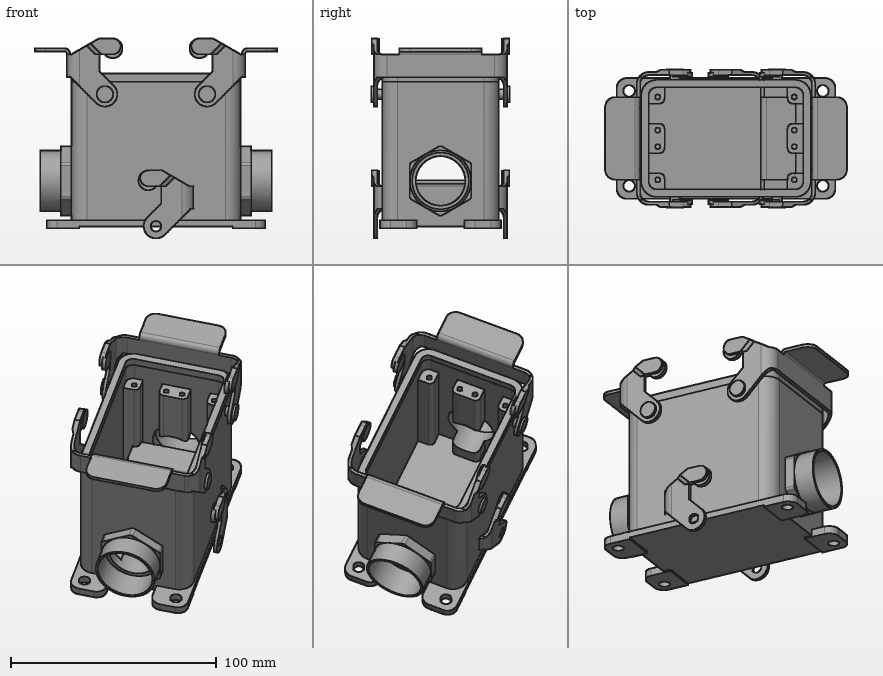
import cadquery as cq
import math


shell_length = 82.3
shell_width = 56.8
wall = 3.6
shell_corner_radius = 7.4
shell_top = 75.3
rim_height = 4.1
rim_bottom = shell_top - rim_height

base_bottom = 0.8
base_top = 4.0
base_width = 58.8
foot_reach = 53.2
foot_pad_start = 37.3
foot_inner_y = 11.5
foot_corner_radius = 5.0
foot_hole_x = 47.0
foot_hole_y = 23.0
foot_hole_diameter = 5.5

boss_face_x = 29.9
corner_boss_face_y = 16.9
middle_boss_half_width = 7.2
boss_corner_radius = 2.5
boss_top = 62.0
boss_hole_x = 33.2
corner_boss_hole_y = 20.1
middle_boss_hole_y = 4.0
boss_hole_diameter = 2.5
boss_hole_depth = 7.0

gland_z = 23.0
gland_end = 56.3
gland_diameter = 29.6
gland_counterbore_diameter = 27.5
gland_counterbore_depth = 13.6
gland_bore_diameter = 24.0
hex_end = 46.2
hex_across_flats = 29.8
hex_edge_radius = 1.8

pivot_x = 24.8
pivot_z = 65.2
low_pivot_z = 1.0
pin_diameter = 4.9
pin_head_diameter = 8.0
pin_head_span = 67.4

sheet = 1.6
arm_outer_y = 32.3
lever_wall_x = 18.6
lever_corner_radius = 6.1
pivot_end_radius = 6.0
pivot_hole_diameter = 5.0
lever_wall_bottom = 8.3
lever_wall_top = 19.4
arm_inner_x = 2.6
hook_top = 27.2
hook_shoulder_x = 2.8
hook_end_x = -3.8
hook_slope = math.radians(30)
pad_outer_y = 33.4
pad_foot_x = 4.7
pad_ramp_run = 2.1
disc_diameter = 9.5
disc_z = 22.2
disc_inner_y = 29.9
disc_outer_y = 31.9
tab_end_x = 34.0
tab_width = 40.2
tab_corner_radius = 5.0
tab_bend_radius = 0.9
tab_top = 22.3

SIDES = (-1, 1)

pin_head_face = pin_head_span / 2
cavity_length = shell_length - 2 * wall
cavity_width = shell_width - 2 * wall
cavity_corner_radius = shell_corner_radius - wall
arm_inner_y = arm_outer_y - sheet
hook_radius = (hook_top - lever_wall_top) / 2
hook_mid_z = lever_wall_top + hook_radius
lever_open_end_x = -2 * lever_wall_x
tab_outer_bend = tab_bend_radius + sheet
bend_start_z = tab_top - tab_outer_bend
tab_bottom = tab_top - sheet


def slab(x1, x2, y1, y2, z1, z2):
    """Axis-aligned block between two corners, given in any order."""
    return (
        cq.Workplane("XY", origin=((x1 + x2) / 2, (y1 + y2) / 2, min(z1, z2)))
        .rect(abs(x2 - x1), abs(y2 - y1))
        .extrude(abs(z2 - z1))
    )


def rounded_prism(length, width, radius, z1, z2):
    """Upright prism centred on Z, with its four vertical edges rounded."""
    half_length, half_width = length / 2, width / 2
    block = slab(-half_length, half_length, -half_width, half_width, z1, z2)
    return block.edges("|Z").fillet(radius)


def x_cylinder(diameter, z, x1, x2):
    """Cylinder along X at the given height."""
    return cq.Workplane("YZ", origin=(x1, 0, z)).circle(diameter / 2).extrude(x2 - x1)


def y_cylinder(diameter, x, z, y1, y2):
    """Cylinder along Y between y1 and y2, where y2 may be the smaller."""
    return cq.Workplane("XZ", origin=(x, y1, z)).circle(diameter / 2).extrude(y1 - y2)


def shell_outline(z1, z2):
    return rounded_prism(shell_length, shell_width, shell_corner_radius, z1, z2)


def cavity(z1, z2):
    return rounded_prism(cavity_length, cavity_width, cavity_corner_radius, z1, z2)


def make_shell():
    return shell_outline(base_bottom, rim_bottom).cut(cavity(base_top, rim_bottom))


def make_base():
    """Plate under the shell with a projecting foot and screw hole at each corner."""
    half_shell, half_base = shell_length / 2, base_width / 2
    base = slab(-half_shell, half_shell, -half_base, half_base, base_bottom, base_top)
    for sx in SIDES:
        for sy in SIDES:
            foot = slab(
                sx * foot_pad_start, sx * foot_reach, sy * foot_inner_y, sy * half_base, 0, base_top
            )
            foot_edges = ">X and |Z" if sx > 0 else "<X and |Z"
            base = base.union(foot.edges(foot_edges).fillet(foot_corner_radius))
    holes = (
        cq.Workplane("XY")
        .rect(2 * foot_hole_x, 2 * foot_hole_y, forConstruction=True)
        .vertices()
        .circle(foot_hole_diameter / 2)
        .extrude(base_top)
    )
    return base.cut(holes)


def make_bosses():
    """Two corner bosses and one middle boss on each end wall, kept inside the shell outline."""
    half_length, half_width = (shell_length - wall) / 2, (shell_width - wall) / 2
    bosses = cq.Workplane("XY")
    for sx in SIDES:
        middle = slab(
            sx * boss_face_x, sx * half_length, -middle_boss_half_width, middle_boss_half_width,
            base_bottom, boss_top,
        )
        inner_edges = "<X and |Z" if sx > 0 else ">X and |Z"
        bosses = bosses.add(middle.edges(inner_edges).fillet(boss_corner_radius))
        for sy in SIDES:
            corner = slab(
                sx * boss_face_x, sx * half_length, sy * corner_boss_face_y, sy * half_width,
                base_bottom, boss_top,
            )
            nearest_y = "<Y" if sy > 0 else ">Y"
            inner_edge = f"{inner_edges} and ({nearest_y})"
            bosses = bosses.add(corner.edges(inner_edge).fillet(boss_corner_radius))
    return bosses.combine().intersect(shell_outline(base_bottom, boss_top))


def make_boss_holes():
    hole_ys = (-corner_boss_hole_y, -middle_boss_hole_y, middle_boss_hole_y, corner_boss_hole_y)
    centres = [(sx * boss_hole_x, y) for sx in SIDES for y in hole_ys]
    drill = cq.Workplane("XY", origin=(0, 0, boss_top - boss_hole_depth))
    return drill.pushPoints(centres).circle(boss_hole_diameter / 2).extrude(boss_hole_depth)


def make_gland():
    """Hexagon and spigot on the +X end wall, without their bore."""
    hex_start = shell_length / 2 - wall / 2
    hexagon = (
        cq.Workplane("YZ", origin=(hex_start, 0, gland_z))
        .transformed(rotate=(0, 0, 90))
        .polygon(6, hex_across_flats / math.cos(math.pi / 6))
        .extrude(hex_end - hex_start)
        .edges("|X")
        .fillet(hex_edge_radius)
    )
    return hexagon.union(x_cylinder(gland_diameter, gland_z, hex_end, gland_end))


def make_gland_bore():
    bore = x_cylinder(gland_bore_diameter, gland_z, 0, gland_end)
    counterbore_start = gland_end - gland_counterbore_depth
    counterbore = x_cylinder(gland_counterbore_diameter, gland_z, counterbore_start, gland_end)
    return bore.union(counterbore)


def make_pin(sx, sy):
    """Headed pivot pin standing out of a long wall."""
    x = sx * pivot_x
    shank_root = sy * (shell_width - wall) / 2
    shank = y_cylinder(pin_diameter, x, pivot_z, shank_root, sy * arm_outer_y)
    head = y_cylinder(pin_head_diameter, x, pivot_z, sy * arm_outer_y, sy * pin_head_face)
    return shank.union(head)


def make_housing():
    body = make_shell().union(make_base()).union(make_bosses()).cut(make_boss_holes())
    gland = make_gland()
    bore = make_gland_bore()
    for turn in (0, 180):
        body = body.union(gland.rotate((0, 0, 0), (0, 0, 1), turn))
        body = body.cut(bore.rotate((0, 0, 0), (0, 0, 1), turn))
    for sx in SIDES:
        for sy in SIDES:
            body = body.union(make_pin(sx, sy))
    return body


def make_rim():
    return shell_outline(rim_bottom, shell_top).cut(cavity(rim_bottom, shell_top))


def make_lever_strip():
    """U-shaped sheet strip trimmed to the side outline of the arms and hooks."""
    diagonal = pivot_end_radius * math.sqrt(2)
    tangent = pivot_end_radius / math.sqrt(2)
    slope_end_x = hook_shoulder_x + (hook_top - lever_wall_top) / math.tan(hook_slope)
    outline = (
        cq.Workplane("XZ", origin=(0, arm_outer_y, 0))
        .moveTo(tangent, -tangent)
        .lineTo(lever_wall_bottom + diagonal, lever_wall_bottom)
        .lineTo(lever_wall_x, lever_wall_bottom)
        .lineTo(lever_wall_x, lever_wall_top)
        .lineTo(slope_end_x, lever_wall_top)
        .lineTo(hook_shoulder_x, hook_top)
        .lineTo(hook_end_x, hook_top)
        .threePointArc((hook_end_x - hook_radius, hook_mid_z), (hook_end_x, lever_wall_top))
        .lineTo(arm_inner_x, lever_wall_top)
        .lineTo(arm_inner_x, arm_inner_x + diagonal)
        .lineTo(-tangent, tangent)
        .threePointArc((-tangent, -tangent), (tangent, -tangent))
        .close()
        .extrude(2 * arm_outer_y)
    )
    z1, z2 = -pivot_end_radius, hook_top
    outer = slab(lever_open_end_x, lever_wall_x, -arm_outer_y, arm_outer_y, z1, z2)
    inner = slab(lever_open_end_x, lever_wall_x - sheet, -arm_inner_y, arm_inner_y, z1, z2)
    outer = outer.edges(">X and |Z").fillet(lever_corner_radius)
    inner = inner.edges(">X and |Z").fillet(lever_corner_radius - sheet)
    return outline.intersect(outer.cut(inner))


def make_hook_pad():
    """Thickening on the outer face of the +Y hook, running out in a 45 degree ramp."""
    slope = math.tan(hook_slope)
    rise = pad_outer_y - arm_outer_y
    shoulder_gap = pad_foot_x - hook_shoulder_x
    climb = (hook_top - lever_wall_top - shoulder_gap * slope) / (1 + slope)
    pad = (
        cq.Workplane("XZ", origin=(0, pad_outer_y, 0))
        .moveTo(pad_foot_x, lever_wall_top)
        .lineTo(pad_foot_x + climb, lever_wall_top + climb)
        .lineTo(hook_shoulder_x, hook_top)
        .lineTo(hook_end_x, hook_top)
        .threePointArc((hook_end_x - hook_radius, hook_mid_z), (hook_end_x, lever_wall_top))
        .close()
        .extrude(rise)
    )
    ramp_plane = cq.Plane(
        origin=(pad_foot_x, arm_outer_y, lever_wall_top), xDir=(1, 0, -1), normal=(1, 0, 1)
    )
    ramp_cut_reach = 2 * climb
    ramp_cut = (
        cq.Workplane(ramp_plane)
        .polyline([(0, 0), (0, rise), (-pad_ramp_run, rise)])
        .close()
        .extrude(ramp_cut_reach, both=True)
    )
    return pad.cut(ramp_cut)


def make_tab():
    """Finger tab bent outward from the top of the lever wall."""
    bend_x = lever_wall_x + tab_bend_radius
    inner_x = lever_wall_x - sheet
    diagonal = math.cos(math.pi / 4)
    outer_mid = (bend_x - tab_outer_bend * diagonal, bend_start_z + tab_outer_bend * diagonal)
    inner_mid = (bend_x - tab_bend_radius * diagonal, bend_start_z + tab_bend_radius * diagonal)
    return (
        cq.Workplane("XZ", origin=(0, tab_width / 2, 0))
        .moveTo(inner_x, lever_wall_bottom)
        .lineTo(inner_x, bend_start_z)
        .threePointArc(outer_mid, (bend_x, tab_top))
        .lineTo(tab_end_x, tab_top)
        .lineTo(tab_end_x, tab_bottom)
        .lineTo(bend_x, tab_bottom)
        .threePointArc(inner_mid, (lever_wall_x, bend_start_z))
        .lineTo(lever_wall_x, lever_wall_bottom)
        .close()
        .extrude(tab_width)
        .edges(">X and |Z")
        .fillet(tab_corner_radius)
    )


def make_lever():
    lever = make_lever_strip().union(make_tab())
    pad = make_hook_pad()
    disc = y_cylinder(disc_diameter, hook_end_x, disc_z, disc_outer_y, disc_inner_y)
    for part in (pad, disc):
        lever = lever.union(part).union(part.mirror("XZ"))
    return lever.cut(y_cylinder(pivot_hole_diameter, 0, 0, arm_outer_y, -arm_outer_y))


lever_places = [(pivot_x, pivot_z, 0), (-pivot_x, pivot_z, 180), (0, low_pivot_z, 0)]
lever_shape = make_lever()
levers = [
    lever_shape.rotate((0, 0, 0), (0, 0, 1), turn).translate((x, 0, z)) for x, z, turn in lever_places
]

housing = make_housing().cut(levers[-1])
rim = make_rim()

result = cq.Compound.makeCompound([housing.val(), rim.val(), *[lever.val() for lever in levers]])